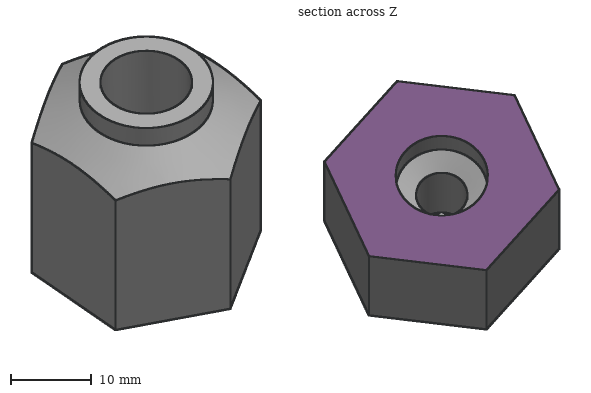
import cadquery as cq
import math

across_corners = 29.33
total_height = 28.75

collar_diameter = 16.48
collar_height = 3.0
shoulder_angle = math.radians(30)

bore_diameter = 11.32
bore_depth = 17.6
through_diameter = 6.34
seat_angle = math.radians(30)

corner_radius = across_corners / 2
collar_radius = collar_diameter / 2
bore_radius = bore_diameter / 2
through_radius = through_diameter / 2

shoulder_top = total_height - collar_height
shoulder_bottom = shoulder_top - (corner_radius - collar_radius) * math.tan(shoulder_angle)
seat_top = total_height - bore_depth
seat_bottom = seat_top - (bore_radius - through_radius) * math.tan(seat_angle)


def revolve_about_z(profile):
    """Revolve a list of (radius, height) points around the Z axis."""
    return cq.Workplane("XZ").polyline(profile).close().revolve(360, (0, 0, 0), (0, 1, 0))


hexagon = cq.Workplane("XY").polygon(6, across_corners).extrude(total_height)

envelope = revolve_about_z([
    (0, 0),
    (corner_radius, 0),
    (corner_radius, shoulder_bottom),
    (collar_radius, shoulder_top),
    (collar_radius, total_height),
    (0, total_height),
])

bore = revolve_about_z([
    (0, 0),
    (through_radius, 0),
    (through_radius, seat_bottom),
    (bore_radius, seat_top),
    (bore_radius, total_height),
    (0, total_height),
])

result = hexagon.intersect(envelope).cut(bore)